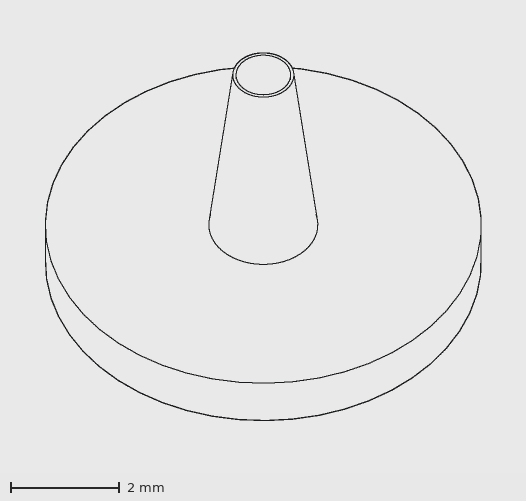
import cadquery as cq

disc_diameter = 8.0
disc_thickness = 1.0
nozzle_height = 4.0
nozzle_base_diameter = 2.0
nozzle_tip_diameter = 1.12
bore_diameter = 1.0

total_height = disc_thickness + nozzle_height

disc = cq.Workplane("XY").circle(disc_diameter / 2).extrude(disc_thickness)

nozzle = cq.Workplane(
    cq.Solid.makeCone(
        nozzle_base_diameter / 2,
        nozzle_tip_diameter / 2,
        nozzle_height,
        pnt=cq.Vector(0, 0, disc_thickness),
    )
)

bore = cq.Workplane("XY").circle(bore_diameter / 2).extrude(total_height)

result = disc.union(nozzle).cut(bore)